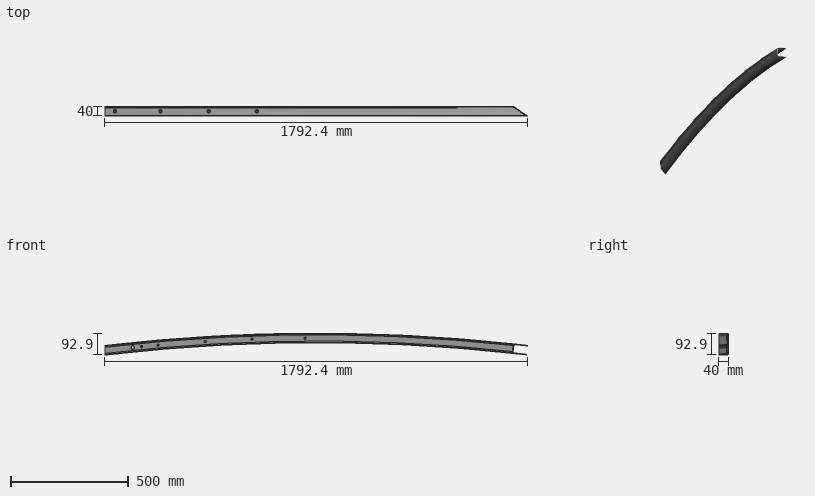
import cadquery as cq
import math

length = 1792.36
depth = 40.0
overall_height = 92.88

section_height = 40.0
wall = 2.0
outer_bend_radius = 7.0
inner_bend_radius = outer_bend_radius - wall

mitre_run = 60.0

flange_hole_diameter = 13.5
flange_hole_stations = (42.0, 235.5, 440.5, 644.5)
web_hole_height = 19.0
web_large_diameter = 13.5
web_large_station = 118.0
web_small_diameter = 7.2
web_small_stations = (155.0, 225.5, 425.5, 624.0, 849.0)

crown_offset = 3.0
left_reach = length / 2 + crown_offset
right_reach = length - left_reach
rise = overall_height - section_height
inner_radius = (left_reach**2 + rise**2) / (2 * rise)
outer_radius = inner_radius + section_height
web_hole_radius = inner_radius + web_hole_height
axis_z = rise - inner_radius
trim_length = 1.5 * length
drill_length = 4 * wall
end_angle = math.asin(right_reach / outer_radius)


def height_on_arc(x, radius):
    return axis_z + math.sqrt(radius**2 - x**2)


def curved_bar(y_end, radius_low, radius_high, bend_radius):
    """Ring about the bending axis from Y = 0 to y_end, its +Y edges rounded."""
    ring = cq.Workplane("XZ", origin=(0, y_end, axis_z)).circle(radius_high).circle(radius_low)
    return ring.extrude(y_end).faces(">Y").edges().fillet(bend_radius)


def channel_ring():
    outer = curved_bar(depth, inner_radius, outer_radius, outer_bend_radius)
    inner = curved_bar(depth - wall, inner_radius + wall, outer_radius - wall, inner_bend_radius)
    return outer.cut(inner)


def upright_end():
    """Block that keeps everything on the +X side of the upright -X end, above the axis."""
    corner = (-left_reach, 0, 0)
    return cq.Workplane("XY", origin=corner).box(trim_length, depth, trim_length, (False, False, True))


def mitred_end():
    """Plan outline square to the bar at its +X end, the mitre falling back toward the web."""
    tip = (right_reach, 0, height_on_arc(right_reach, outer_radius))
    tangent = (math.cos(end_angle), 0, -math.sin(end_angle))
    radial = (math.sin(end_angle), 0, math.cos(end_angle))
    end_plane = cq.Plane(origin=tip, xDir=tangent, normal=radial)
    outline = [(0, 0), (-mitre_run, depth), (-trim_length, depth), (-trim_length, 0)]
    return cq.Workplane(end_plane).polyline(outline).close().extrude(trim_length / 2, both=True)


def flange_hole(station):
    """Hole square to the top flange, midway across it."""
    x = station - left_reach
    z = height_on_arc(x, outer_radius)
    outward = cq.Vector(x, 0, z - axis_z).normalized()
    start = cq.Vector(x, depth / 2, z) - outward * (drill_length / 2)
    return cq.Solid.makeCylinder(flange_hole_diameter / 2, drill_length, start, outward)


def web_hole(station, diameter):
    """Hole through the web at a set height above the underside."""
    x = station - left_reach
    start = cq.Vector(x, depth - drill_length / 2, height_on_arc(x, web_hole_radius))
    return cq.Solid.makeCylinder(diameter / 2, drill_length, start, cq.Vector(0, 1, 0))


result = channel_ring().intersect(upright_end()).intersect(mitred_end())

for station in flange_hole_stations:
    result = result.cut(cq.Workplane(flange_hole(station)))

result = result.cut(cq.Workplane(web_hole(web_large_station, web_large_diameter)))

for station in web_small_stations:
    result = result.cut(cq.Workplane(web_hole(station, web_small_diameter)))